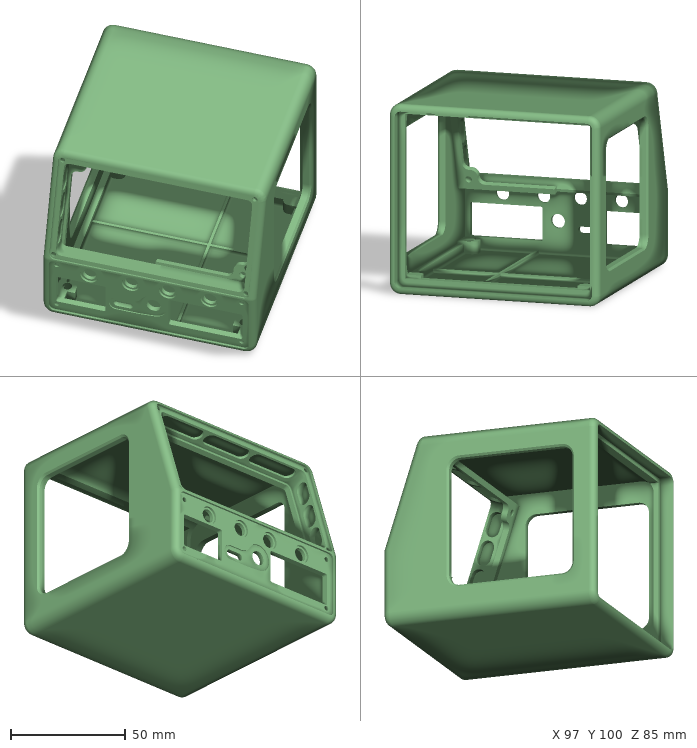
import cadquery as cq
import math

WIDTH = 97.0
DEPTH = 100.0
HEIGHT = 85.0
FRONT_Y = -DEPTH / 2
BACK_Y = DEPTH / 2
CORNER_RADIUS = 5.0
RIM_RADIUS = 3.0
BEND_Z = 34.0
SLOPE_ANGLE = 18.0
WALL = 3.8
SLOPE_WALL = 2.0
FLOOR = 2.0
ROOF = 3.0
CUT = 199.9
TOLERANCE = 0.1

ROOM_X = WIDTH / 2 - WALL
ROOM_FRONT_Y = FRONT_Y + WALL
LEDGE_Z = 6.3
ROOM_BACK_Y = 42.0
ROOM_CORNER_RADIUS = 6.5
BACK_OPENING_WIDTH = 85.2
BACK_OPENING_TOP = 80.0
BACK_SEAT_Y = 44.3
FLOOR_WIDTH = 83.6
FLOOR_BACK_Y = 40.0
FLOOR_FILLET = 1.0
RIB_X = 11.3
RIB_Y = 6.8
RIB_WIDTH = 1.2
RIB_TOP = 3.6
BOSS_X = 36.0
BOSS_INNER_Y = 36.0
BOSS_OUTER_Y = 41.7
BOSS_RADIUS = 2.8
BLOCK_TOP = 7.6
SCREW_BLOCK_X = 39.5
BOSS_HOLE = 4.1
BOSS_HOLE_X = 40.3
BOSS_HOLE_Y = -38.5

WINDOW_SIZE = 58.0
WINDOW_Y = 10.0
WINDOW_Z = 43.4
WINDOW_RADIUS = 5.0
WINDOW_CHAMFER = 0.9
CHAMFER_ANGLE = 45

SEAT_DEPTH = 1.0
SEAT_WIDTH = WIDTH - 2 * RIM_RADIUS
SEAT_RADIUS = 2.6
SCREW_HOLE = 2.2
SCREW_DEPTH = 6.0

FRONT_SEAT_BOTTOM = RIM_RADIUS
FRONT_SCREW_X = 42.1
FRONT_SCREW_Z = (6.2, 30.3)
CUTOUT_BOTTOM = 7.8
CUTOUT_TOP = 23.1
CUTOUT_RADIUS = 0.8
CUTOUT_SPANS = ((-42.4, -19.8), (8.9, 42.4))
BUTTON_X = (8.45, 27.4)
BUTTON_Z = 27.9
BUTTON_HOLE = 6.1
BUTTON_SEAT = 8.0
BUTTON_SEAT_DEPTH = 1.0
PORT_X = -11.95
PORT_Z = 13.8
PORT_LENGTH = 8.9
PORT_HEIGHT = 3.2
JACK_X = 1.9
JACK_Z = 17.1
JACK_HOLE = 6.5
POCKET_LEFT = -18.4
POCKET_BOTTOM = 10.5
POCKET_TOP = 17.4
POCKET_DEPTH = 0.5
JACK_POCKET_RADIUS = 6.2
POCKET_BLEND = 5.0

FRAME_LOW = 2.5
FRAME_HIGH = 48.3
FRAME_WIDTH = 85.8
FRAME_RADIUS = 2.5
FRAME_WALL = 1.3
FRAME_DEPTH = 10.8
PLATE = 2.7
PLATE_BORDER = 1.3
PLATE_RADIUS = 1.5
TAB_LENGTH = 7.8
TAB_HEIGHT = 8.3
TAB_RADIUS = 3.0
TAB_HOLE = 3.0
TAB_HOLE_INSET = 3.5
SLOPE_SCREW_X = 43.8
SLOPE_SCREW_LOW = 2.5
SLOPE_SCREW_HIGH = 49.4
VENT_WIDTH = 6.5
VENT_GAP = 1.7
VENT_DEPTH = 5.3
TOP_VENT_LENGTH = 25.5
SIDE_VENT_LENGTH = 11.6
SIDE_VENT_REACH = 46.0
FRAME_MID = (FRAME_LOW + FRAME_HIGH) / 2

SIN = math.sin(math.radians(SLOPE_ANGLE))
COS = math.cos(math.radians(SLOPE_ANGLE))
SLOPE_SEAT_LOW = RIM_RADIUS * math.tan(math.radians(SLOPE_ANGLE / 2))
SLOPE_SEAT_HIGH = (HEIGHT - BEND_Z) / COS - RIM_RADIUS * math.tan(math.radians(45 - SLOPE_ANGLE / 2))
FRONT_SEAT_TOP = BEND_Z - SLOPE_SEAT_LOW
SLOPE_NORMAL = cq.Vector(0, -COS, SIN)
SLOPE_FACE = cq.selectors.DirectionMinMaxSelector(SLOPE_NORMAL)


def box(x0, x1, y0, y1, z0, z1):
    return cq.Workplane("XY").box(x1 - x0, y1 - y0, z1 - z0, centered=False).translate((x0, y0, z0))


def slope_plane(depth=0.0):
    """Plane parallel to the sloping face, depth behind it; local y runs up the slope."""
    origin = (0, FRONT_Y + depth * COS, BEND_Z - depth * SIN)
    return cq.Workplane(cq.Plane(origin=origin, xDir=(1, 0, 0), normal=SLOPE_NORMAL))


def slope_block(depth0, depth1, x0, x1, low, high):
    """Block aligned with the sloping face between two depths."""
    plane = slope_plane(depth0).center((x0 + x1) / 2, (low + high) / 2)
    return plane.rect(x1 - x0, high - low).extrude(depth0 - depth1)


def front_plane():
    """Plane of the front face; local y is height and negative extrusions go into the part."""
    return cq.Workplane("XZ", origin=(0, FRONT_Y, 0))


def in_front_of_slope(depth):
    """Everything in front of the sloping face moved back by depth."""
    return slope_block(depth - CUT, depth, -CUT, CUT, -CUT, CUT)


def outer_body():
    body = box(-WIDTH / 2, WIDTH / 2, FRONT_Y, BACK_Y, 0, HEIGHT).edges("|Y").fillet(CORNER_RADIUS)
    body = body.cut(in_front_of_slope(0))
    rims = body.faces("<Y").edges().add(body.faces(">Y").edges())
    rims = rims.add(body.faces(SLOPE_FACE).edges())
    return rims.fillet(RIM_RADIUS)


def interior():
    """Room behind the front, open at the back through a frame with a panel seat."""
    room = box(-ROOM_X, ROOM_X, ROOM_FRONT_Y, ROOM_BACK_Y, LEDGE_Z, HEIGHT - ROOF)
    room = room.edges("|X and >Y").fillet(ROOM_CORNER_RADIUS)
    room = room.cut(in_front_of_slope(SLOPE_WALL))
    opening_x = BACK_OPENING_WIDTH / 2
    opening = box(-opening_x, opening_x, 0, BACK_Y, LEDGE_Z, BACK_OPENING_TOP)
    seat_x = SEAT_WIDTH / 2
    seat = box(-seat_x, seat_x, BACK_SEAT_Y, BACK_Y, RIM_RADIUS, HEIGHT - RIM_RADIUS)
    return room.union(opening).union(seat.edges("|Y").fillet(SEAT_RADIUS))


def both_sides(block):
    """The block together with its mirror image on the other side wall."""
    return block.union(block.mirror("YZ"))


def corner_bosses():
    """Bosses rising from the floor against the side walls, near all four corners."""
    back = box(BOSS_X, ROOM_X, BOSS_INNER_Y, BOSS_OUTER_Y, FLOOR / 2, BLOCK_TOP)
    back = both_sides(back.edges("|Z and <X and <Y").fillet(BOSS_RADIUS))
    return back.union(back.mirror("XZ"))


def floor_pockets():
    """Four pockets with rounded bottoms, leaving a low cross of ribs between them."""
    floor_x = FLOOR_WIDTH / 2
    half = RIB_WIDTH / 2
    pockets = box(-floor_x, floor_x, ROOM_FRONT_Y, FLOOR_BACK_Y, RIB_TOP, LEDGE_Z)
    for x0, x1 in ((-floor_x, RIB_X - half), (RIB_X + half, floor_x)):
        for y0, y1 in ((ROOM_FRONT_Y, RIB_Y - half), (RIB_Y + half, FLOOR_BACK_Y)):
            pocket = box(x0, x1, y0, y1, FLOOR, LEDGE_Z)
            pockets = pockets.union(pocket.faces("<Z").edges().fillet(FLOOR_FILLET))
    return pockets


def corner_blocks():
    """Corner bosses, drilled at the front, and backing for the lower panel screws."""
    backing = box(SCREW_BLOCK_X, ROOM_X, ROOM_FRONT_Y, -BOSS_OUTER_Y, FLOOR / 2, BLOCK_TOP)
    spots = [(side * BOSS_HOLE_X, BOSS_HOLE_Y) for side in (-1, 1)]
    holes = cq.Workplane("XY", origin=(0, 0, FLOOR)).pushPoints(spots)
    holes = holes.circle(BOSS_HOLE / 2).extrude(BLOCK_TOP - FLOOR)
    return corner_bosses().union(both_sides(backing)).cut(holes)


def side_windows():
    window = box(-CUT / 2, CUT / 2, WINDOW_Y - WINDOW_SIZE / 2, WINDOW_Y + WINDOW_SIZE / 2,
                 WINDOW_Z - WINDOW_SIZE / 2, WINDOW_Z + WINDOW_SIZE / 2)
    window = window.edges("|X").fillet(WINDOW_RADIUS)
    wide = WINDOW_SIZE + 2 * WINDOW_CHAMFER
    for side in (-1, 1):
        bevel = cq.Workplane("YZ", origin=(side * WIDTH / 2, WINDOW_Y, WINDOW_Z))
        bevel = bevel.sketch().rect(wide, wide).vertices().fillet(WINDOW_RADIUS + WINDOW_CHAMFER).finalize()
        window = window.union(bevel.extrude(-side * WINDOW_CHAMFER, taper=CHAMFER_ANGLE))
    return window


def front_panel_cuts():
    seat = front_plane().center(0, (FRONT_SEAT_BOTTOM + FRONT_SEAT_TOP) / 2)
    seat = seat.rect(SEAT_WIDTH, FRONT_SEAT_TOP - FRONT_SEAT_BOTTOM).extrude(-SEAT_DEPTH)
    cuts = seat.edges("|Y").fillet(SEAT_RADIUS)

    for left, right in CUTOUT_SPANS:
        cutout = box(left, right, FRONT_Y, FRONT_Y + 2 * WALL, CUTOUT_BOTTOM, CUTOUT_TOP)
        cuts = cuts.union(cutout.edges("|Y").fillet(CUTOUT_RADIUS))

    buttons = [(side * x, BUTTON_Z) for side in (-1, 1) for x in BUTTON_X]
    holes = front_plane().pushPoints(buttons).circle(BUTTON_HOLE / 2).extrude(-2 * WALL)
    seats = front_plane().pushPoints(buttons).circle(BUTTON_SEAT / 2)
    cuts = cuts.union(holes).union(seats.extrude(-SEAT_DEPTH - BUTTON_SEAT_DEPTH))

    screws = [(side * FRONT_SCREW_X, z) for side in (-1, 1) for z in FRONT_SCREW_Z]
    return cuts.union(front_plane().pushPoints(screws).circle(SCREW_HOLE / 2).extrude(-SCREW_DEPTH))


def port_pocket():
    """Pear-shaped pocket shared by the port slot and the jack hole."""
    depth = -SEAT_DEPTH - POCKET_DEPTH
    end_radius = (POCKET_TOP - POCKET_BOTTOM) / 2
    slot_end = POCKET_LEFT + end_radius
    blend_z = POCKET_TOP + POCKET_BLEND
    reach = JACK_POCKET_RADIUS + POCKET_BLEND
    blend_x = JACK_X - math.sqrt(reach ** 2 - (blend_z - JACK_Z) ** 2)
    share = JACK_POCKET_RADIUS / reach
    touch = (JACK_X + share * (blend_x - JACK_X), JACK_Z + share * (blend_z - JACK_Z))
    touch_angle = math.atan2(touch[1] - blend_z, touch[0] - blend_x)
    mid_angle = (touch_angle - math.pi / 2) / 2
    blend_mid = (blend_x + POCKET_BLEND * math.cos(mid_angle), blend_z + POCKET_BLEND * math.sin(mid_angle))
    jack_right = (JACK_X + JACK_POCKET_RADIUS, JACK_Z)
    pocket = (
        front_plane()
        .moveTo(slot_end, POCKET_BOTTOM)
        .threePointArc((POCKET_LEFT, POCKET_BOTTOM + end_radius), (slot_end, POCKET_TOP))
        .lineTo(blend_x, POCKET_TOP)
        .threePointArc(blend_mid, touch)
        .threePointArc((JACK_X, JACK_Z + JACK_POCKET_RADIUS), jack_right)
        .tangentArcPoint((JACK_X, JACK_Z - JACK_POCKET_RADIUS), relative=False)
        .lineTo(JACK_X - JACK_POCKET_RADIUS, POCKET_BOTTOM)
        .close()
        .extrude(depth)
    )
    port = front_plane().center(PORT_X, PORT_Z).slot2D(PORT_LENGTH, PORT_HEIGHT).extrude(-2 * WALL)
    jack = front_plane().center(JACK_X, JACK_Z).circle(JACK_HOLE / 2).extrude(-2 * WALL)
    return pocket.union(port).union(jack)


def across_slope(block):
    """Edges of a slope-aligned block that run straight into the part."""
    return block.edges(cq.selectors.ParallelDirSelector(SLOPE_NORMAL))


def slope_opening():
    """Panel seat, frame passage and corner screws of the sloping face."""
    half = SEAT_WIDTH / 2
    seat = across_slope(slope_block(0, SEAT_DEPTH, -half, half, SLOPE_SEAT_LOW, SLOPE_SEAT_HIGH))
    half = FRAME_WIDTH / 2
    passage = across_slope(slope_block(0, FRAME_DEPTH, -half, half, FRAME_LOW, FRAME_HIGH))
    screws = [(side * SLOPE_SCREW_X, v) for side in (-1, 1) for v in (SLOPE_SCREW_LOW, SLOPE_SCREW_HIGH)]
    holes = slope_plane().pushPoints(screws).circle(SCREW_HOLE / 2).extrude(-SCREW_DEPTH)
    return seat.fillet(SEAT_RADIUS).union(passage.fillet(FRAME_RADIUS)).union(holes)


def display_frame():
    """Tube around the display passage, closed behind by the windowed plate."""
    half = FRAME_WIDTH / 2
    low = FRAME_LOW - FRAME_WALL
    high = FRAME_HIGH + FRAME_WALL
    tube = slope_block(WALL / 2, FRAME_DEPTH, -ROOM_X, ROOM_X, low, high)
    plate = slope_block(FRAME_DEPTH, FRAME_DEPTH + PLATE, -ROOM_X, ROOM_X, low, high)

    edge = half - PLATE_BORDER
    bottom = FRAME_LOW + PLATE_BORDER
    top = FRAME_HIGH - PLATE_BORDER
    tab_x = half - TAB_LENGTH
    upper_tab = FRAME_HIGH - TAB_HEIGHT
    lower_tab = FRAME_LOW + TAB_HEIGHT
    outline = [(-edge, low), (0, low), (0, bottom), (tab_x, bottom), (tab_x, lower_tab),
               (edge, lower_tab), (edge, top), (-tab_x, top), (-tab_x, upper_tab), (-edge, upper_tab)]
    window = slope_plane(FRAME_DEPTH).polyline(outline).close().extrude(-PLATE)
    middle_z = window.val().BoundingBox().center.z
    window = across_slope(window).filter(lambda e: e.Center().x * (e.Center().z - middle_z) < -TOLERANCE)
    window = window.fillet(TAB_RADIUS)
    upper_right = across_slope(window).filter(lambda e: e.Center().x > edge - TOLERANCE).edges(">Z")
    window = upper_right.fillet(PLATE_RADIUS)

    inset_x = half - TAB_HOLE_INSET
    spots = [(-inset_x, FRAME_HIGH - TAB_HOLE_INSET), (inset_x, FRAME_LOW + TAB_HOLE_INSET)]
    holes = slope_plane(FRAME_DEPTH).pushPoints(spots).circle(TAB_HOLE / 2).extrude(-PLATE)
    return tube.union(plate).cut(window).cut(holes)


def frame_vents():
    """Rows of three round-ended slots through the top and both sides of the frame tube."""
    centre = slope_plane(VENT_DEPTH).plane
    upward = cq.Plane(origin=centre.toWorldCoords((0, FRAME_MID)), xDir=(1, 0, 0), normal=centre.yDir)
    sideways = cq.Plane(origin=upward.origin, xDir=centre.yDir, normal=(1, 0, 0))

    def row(length, plane):
        pitch = length + VENT_GAP
        return cq.Workplane(plane).pushPoints([(i * pitch, 0) for i in (-1, 0, 1)]).slot2D(length, VENT_WIDTH)

    top_row = row(TOP_VENT_LENGTH, upward).extrude(FRAME_HIGH - FRAME_MID + FRAME_WALL)
    side_rows = row(SIDE_VENT_LENGTH, sideways).extrude(SIDE_VENT_REACH, both=True)
    return top_row.union(side_rows)


shell = outer_body().cut(interior()).cut(floor_pockets()).union(corner_blocks())
shell = shell.cut(side_windows()).cut(front_panel_cuts()).cut(port_pocket())
result = shell.union(display_frame()).cut(slope_opening()).cut(frame_vents())